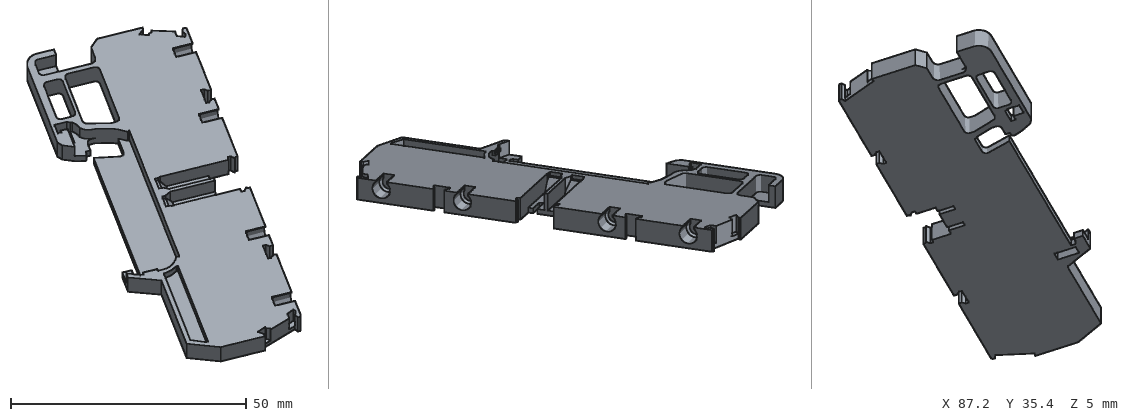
import cadquery as cq
import math

LENGTH = 87.2
HEIGHT = 35.4
THICKNESS = 5.0
HALF = LENGTH / 2
CLEAR = 0.9

CHANNEL_FLOOR = 1.8
POCKET_FLOOR = 1.1

SHOULDER_Y = 26.5
MARKER_NOTCH_X = 22.0
NOTCH_FLOOR_Y = 33.3
NOTCH_NECK = 1.2
NOTCH_WIDE = 1.8
LIP_Y = 34.6
UNDERCUT_Y = 34.0

BAY_HALF = 4.1
TAB_TOP_Y = 28.9
RIB_HALF = 0.39
RAMP_START_Y = 19.4
RAMP_END_Y = 17.6
BAY_END_Y = 16.8
SHELF_Z = 4.1
SLIT_X = 2.5
SLIT_WIDTH = 1.0
SLIT_END_Y = 25.2

BORE_X = (-35.1, -16.6, 16.6, 35.1)
BORE_RADIUS = 2.0
BORE_SLOT_HALF = 1.2
BORE_END_Y = 30.95
BORE_SLOT_DEPTH = 0.3
BORE_TAPER = 0.5

RIM_Y = 6.8
ARM_Y = 14.5
POST_X = -37.6
FOOT_RADIUS = 3.0
POST_RADIUS = 1.3
WINDOW_RADIUS = 1.0
SPRING_TIP_RADIUS = 0.5
BAR_Y = 3.1
HOOK_Y = 3.4
CHANNEL_Y = 15.5
CHANNEL_END_X = 20.0
SLOT_TOP_Y = 11.0
TOOTH_HEIGHT = 1.05
TOOTH_STEP = 0.3
TAIL_POCKET_DEPTH = 1.75


def prism(points, bottom=-CLEAR, top=THICKNESS + CLEAR):
    """Straight prism along Z over a closed polygon."""
    return cq.Workplane("XY").workplane(offset=bottom).polyline(points).close().extrude(top - bottom)


def box(x0, x1, y0, y1, bottom=-CLEAR, top=THICKNESS + CLEAR):
    """Axis-parallel block given by its limits."""
    return prism([(x0, y0), (x1, y0), (x1, y1), (x0, y1)], bottom, top)


def round_corner(body, x, y, radius):
    """Round the edge along Z that stands at (x, y)."""
    near = 0.04
    corner = cq.selectors.BoxSelector(
        (x - near, y - near, -2 * THICKNESS), (x + near, y + near, 2 * THICKNESS)
    )
    return body.edges("|Z").edges(corner).fillet(radius)


def mirrored(points):
    """Reflect an outline in X = 0, keeping its running direction."""
    return [(-x, y) for x, y in reversed(points)]


def make_plate():
    """Full-thickness plate with the outer outline and its rounded corners."""
    left_end = [
        (-40.55, HEIGHT),
        (-40.8, 35.1),
        (-40.8, 34.6),
        (-40.0, 34.2),
        (-42.9, 26.3),
        (-43.25, SHOULDER_Y),
        (-HALF, SHOULDER_Y),
    ]
    body_and_foot = [
        (-HALF, 16.4),
        (-41.8, ARM_Y),
        (POST_X, ARM_Y),
        (POST_X, RIM_Y),
        (-HALF, RIM_Y),
        (-HALF, 0),
        (-19.45, 0),
        (-18.4, 0.7),
        (-17.2, BAR_Y),
        (-16.4, 5.75),
        (-17.6, 5.75),
        (-17.6, RIM_Y),
        (-20.5, RIM_Y),
        (-20.5, 8.7),
        (-19.5, 12.1),
        (-18.9, 13.3),
        (-13.95, 13.3),
        (-15.5, RIM_Y),
    ]
    hook_and_tail = [
        (17.35, RIM_Y),
        (17.35, 5.8),
        (16.9, 5.5),
        (15.8, 5.5),
        (15.8, HOOK_Y),
        (19.8, HOOK_Y),
        (22.7, 9.9),
        (40.55, 9.9),
        (HALF, 16.6),
    ]
    outline = left_end + body_and_foot + hook_and_tail + mirrored(left_end)
    plate = prism(outline, 0, THICKNESS)
    plate = round_corner(plate, POST_X, ARM_Y, POST_RADIUS)
    plate = round_corner(plate, POST_X, RIM_Y, POST_RADIUS)
    plate = round_corner(plate, -HALF, 0, FOOT_RADIUS)
    plate = round_corner(plate, -20.5, RIM_Y, WINDOW_RADIUS)
    plate = round_corner(plate, -16.4, 5.75, SPRING_TIP_RADIUS)
    return round_corner(plate, -13.95, 13.3, WINDOW_RADIUS)


def marker_notch():
    """Undercut notch on the left, with a snap lip on each side."""
    half = [
        (NOTCH_NECK, HEIGHT + CLEAR),
        (NOTCH_NECK, LIP_Y),
        (NOTCH_WIDE, UNDERCUT_Y),
        (NOTCH_WIDE, NOTCH_FLOOR_Y),
    ]
    return prism(half + mirrored(half)).translate((-MARKER_NOTCH_X, 0, 0))


def end_pockets():
    """Two small snap pockets in the slanted left end, open to the top face."""
    upper = [(-40.8, 32.8), (-39.2, 32.8), (-38.5, 34.4), (-39.15, 34.7), (-40.0, 34.2)]
    lower = [(-42.9, 26.3), (-42.0, 25.3), (-41.25, 27.2), (-41.6, 27.3), (-41.9, 28.1), (-42.55, 28.1)]
    return prism(upper, POCKET_FLOOR).union(prism(lower, POCKET_FLOOR))


def pin_bore(x):
    """Bore along Y with a tapered end, opened to the top face by a narrower slot."""
    rise = math.sqrt(BORE_RADIUS ** 2 - BORE_SLOT_HALF ** 2)
    axis_z = THICKNESS - BORE_SLOT_DEPTH - rise
    bore = (
        cq.Workplane("XZ", origin=(x, HEIGHT + CLEAR, axis_z))
        .circle(BORE_RADIUS)
        .extrude(HEIGHT + CLEAR - BORE_END_Y)
        .faces("<Y")
        .chamfer(BORE_TAPER)
    )
    slot = box(x - BORE_SLOT_HALF, x + BORE_SLOT_HALF, BORE_END_Y, HEIGHT + CLEAR, axis_z)
    return bore.union(slot)


def bay_opening():
    """Opening above the tabs with an undercut below each upper corner."""
    half = [
        (4.4, HEIGHT + CLEAR),
        (4.4, 34.9),
        (BAY_HALF, LIP_Y),
        (4.9, UNDERCUT_Y),
        (4.9, NOTCH_FLOOR_Y),
        (BAY_HALF, NOTCH_FLOOR_Y),
        (BAY_HALF, TAB_TOP_Y),
    ]
    return prism(half + mirrored(half))


def tab_pocket():
    """Left pocket beside the central rib, with a ramp and shelf at its closed end."""
    pocket = prism([
        (-BAY_HALF, TAB_TOP_Y + CLEAR),
        (-BAY_HALF, 18.05),
        (-3.9, RAMP_END_Y),
        (-3.9, BAY_END_Y),
        (-1.1, BAY_END_Y),
        (-1.1, RAMP_END_Y),
        (-RIB_HALF, 18.9),
        (-RIB_HALF, TAB_TOP_Y + CLEAR),
    ], POCKET_FLOOR)
    ramp = (
        cq.Workplane("YZ", origin=(-BAY_HALF, 0, 0))
        .polyline([
            (RAMP_START_Y, POCKET_FLOOR),
            (RAMP_END_Y, SHELF_Z),
            (BAY_END_Y, SHELF_Z),
            (BAY_END_Y, POCKET_FLOOR),
        ])
        .close()
        .extrude(BAY_HALF)
    )
    return pocket.cut(ramp)


def tab_slit():
    """Narrow through slit in the left tab."""
    return box(-SLIT_X - SLIT_WIDTH / 2, -SLIT_X + SLIT_WIDTH / 2, SLIT_END_Y, TAB_TOP_Y + CLEAR)


def rail_channel():
    """Recess that leaves only the thin web, the spring foot and the hook low."""
    return (
        cq.Workplane("XY", origin=(0, 0, CHANNEL_FLOOR))
        .moveTo(-18.0, CHANNEL_Y)
        .lineTo(17.6, CHANNEL_Y)
        .lineTo(17.6, 14.7)
        .threePointArc((19.2, 13.5), (CHANNEL_END_X, SLOT_TOP_Y))
        .lineTo(18.75, SLOT_TOP_Y - CLEAR)
        .lineTo(18.75, 6.1)
        .lineTo(19.9, 6.1)
        .lineTo(18.7, HOOK_Y)
        .lineTo(18.7, HOOK_Y - CLEAR)
        .lineTo(-13.1, HOOK_Y - CLEAR)
        .lineTo(-13.1, BAR_Y)
        .lineTo(-22.7, BAR_Y)
        .lineTo(-23.7, 4.2)
        .lineTo(-23.6, 4.6)
        .threePointArc((-22.85, 5.2), (-21.8, 5.7))
        .threePointArc((-21.0, 6.5), (-20.6, 7.85))
        .lineTo(-20.5, 8.7)
        .lineTo(-19.5, 12.1)
        .lineTo(-18.9, 13.3)
        .lineTo(-17.7, 15.1)
        .close()
        .extrude(THICKNESS)
    )


def latch_tooth(root_x, tip_x, y0, y1):
    """Short tooth at the top of a slot wall; its lower half reaches further."""
    bottom = THICKNESS - TOOTH_HEIGHT
    step_z = THICKNESS - TOOTH_HEIGHT / 2
    return (
        cq.Workplane("XZ", origin=(0, y1, 0))
        .polyline([
            (root_x, bottom),
            (root_x, THICKNESS + CLEAR),
            (tip_x, THICKNESS + CLEAR),
            (tip_x, step_z),
            (tip_x - TOOTH_STEP, step_z),
            (tip_x - TOOTH_STEP, bottom),
        ])
        .close()
        .extrude(y1 - y0)
    )


def foot_slot():
    """Angled through slot that frees the spring foot from the bar."""
    wall_x = -21.8
    slot = prism([
        (-24.15, 0.8),
        (wall_x, 0.8),
        (wall_x, BAR_Y),
        (-20.7, BAR_Y),
        (-20.7, 4.2),
        (-23.7, 4.2),
        (-24.15, 3.6),
    ])
    return slot.cut(latch_tooth(wall_x, -22.3, 1.7, BAR_Y))


def hook_slot():
    """Through slot behind the rail hook."""
    slot = box(18.1, CHANNEL_END_X, 6.1, SLOT_TOP_Y)
    return slot.cut(latch_tooth(CHANNEL_END_X, 19.45, 6.9, 10.0))


def windows():
    """Two rounded openings between the body and the foot."""
    upper = prism([(-36.45, RIM_Y), (-22.7, RIM_Y), (-21.0, 12.4), (-21.0, ARM_Y), (-36.45, ARM_Y)])
    lower = box(-35.7, -25.2, 1.8, 6.0)
    return upper.edges("|Z").fillet(WINDOW_RADIUS).union(lower.edges("|Z").fillet(WINDOW_RADIUS))


def foot_pocket():
    """Pocket in the foot, open toward the body."""
    left = -42.0
    end_y = 1.8
    pocket = box(left, POST_X, end_y, RIM_Y + 2 * CLEAR, POCKET_FLOOR)
    for x in (left, POST_X):
        pocket = round_corner(pocket, x, end_y, WINDOW_RADIUS)
    return pocket


def tail_pocket():
    """Long shallow pocket behind the hook."""
    return (
        cq.Workplane("XY", origin=(0, 0, THICKNESS - TAIL_POCKET_DEPTH))
        .moveTo(20.0, ARM_Y)
        .lineTo(41.3, ARM_Y)
        .lineTo(41.3, 13.9)
        .lineTo(39.85, SLOT_TOP_Y)
        .lineTo(21.0, SLOT_TOP_Y)
        .threePointArc((20.7, 12.7), (20.0, 14.0))
        .close()
        .extrude(TAIL_POCKET_DEPTH + CLEAR)
    )


result = make_plate().cut(bay_opening())

for paired in (marker_notch(), end_pockets(), tab_pocket(), tab_slit()):
    result = result.cut(paired).cut(paired.mirror("YZ"))

for bore_x in BORE_X:
    result = result.cut(pin_bore(bore_x))

for cutter in (rail_channel(), foot_slot(), hook_slot(), windows(), foot_pocket(), tail_pocket()):
    result = result.cut(cutter)